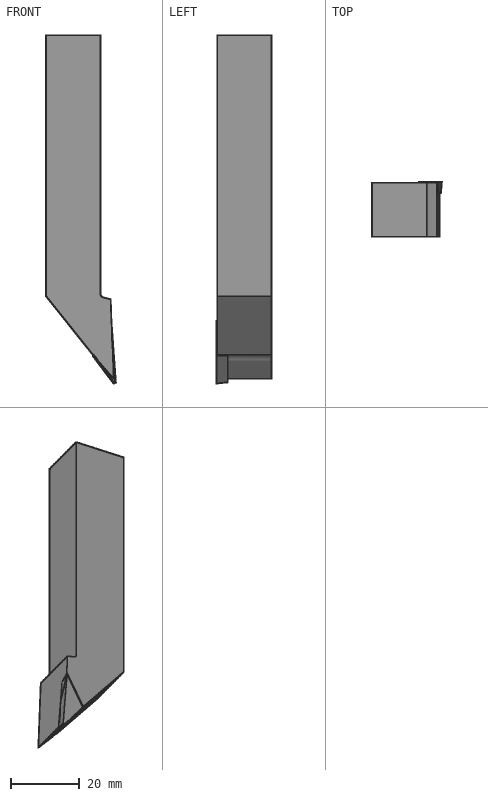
import cadquery as cq
import math

TOTAL_HEIGHT = 101.4
SHANK_WIDTH = 15.9
SHANK_DEPTH = 15.8

FLANK_TOP_Z = 25.4
LEDGE_CORNER_Z = 25.3
LEDGE_END = (18.9, 24.5)
LEDGE_FILLET = 0.8
HOLDER_TIP = (19.7, 1.4)
FLANK_END = (13.6, 8.4)
RELIEF_START = (15.0, 6.8)
RUNOUT_RADIUS = 3.5

INSERT_THICKNESS = 3.3
INSERT_PROUD = 0.2
INSERT_TOP = (19.1, 18.3)
INSERT_HEEL = (13.6, 8.1)
TIP_RIGHT = (20.4, 0.3)
TIP_LOWER = (19.7, 0.0)
INSERT_TAPER = 5.0


def make_insert():
    """Triangular cutting plate with a blunt tip, narrowing away from its back face."""
    outline = [INSERT_TOP, INSERT_HEEL, TIP_LOWER, TIP_RIGHT]
    return (
        cq.Workplane("XZ", origin=(0, INSERT_PROUD, 0))
        .polyline(outline)
        .close()
        .extrude(INSERT_THICKNESS, taper=INSERT_TAPER)
    )


def runout_midpoint():
    """Middle of the concave arc that joins the underside to its set-back part."""
    dx = RELIEF_START[0] - FLANK_END[0]
    dz = RELIEF_START[1] - FLANK_END[1]
    chord = math.hypot(dx, dz)
    rise = RUNOUT_RADIUS - math.sqrt(RUNOUT_RADIUS**2 - (chord / 2) ** 2)
    return (
        (FLANK_END[0] + RELIEF_START[0]) / 2 - rise * dz / chord,
        (FLANK_END[1] + RELIEF_START[1]) / 2 + rise * dx / chord,
    )


def make_holder(insert):
    """Shank and head in one piece, with a pocket that fits the insert."""
    body = (
        cq.Workplane("XZ")
        .moveTo(0, TOTAL_HEIGHT)
        .lineTo(0, FLANK_TOP_Z)
        .lineTo(*FLANK_END)
        .threePointArc(runout_midpoint(), RELIEF_START)
        .lineTo(*HOLDER_TIP)
        .lineTo(*LEDGE_END)
        .lineTo(SHANK_WIDTH, LEDGE_CORNER_Z)
        .lineTo(SHANK_WIDTH, TOTAL_HEIGHT)
        .close()
        .extrude(SHANK_DEPTH)
    )
    ledge_corner = cq.selectors.NearestToPointSelector(
        (SHANK_WIDTH, -SHANK_DEPTH / 2, LEDGE_CORNER_Z)
    )
    return body.edges(ledge_corner).fillet(LEDGE_FILLET).cut(insert).solids()


insert = make_insert()
holder = make_holder(insert)

result = cq.Compound.makeCompound([holder.val(), insert.val()])